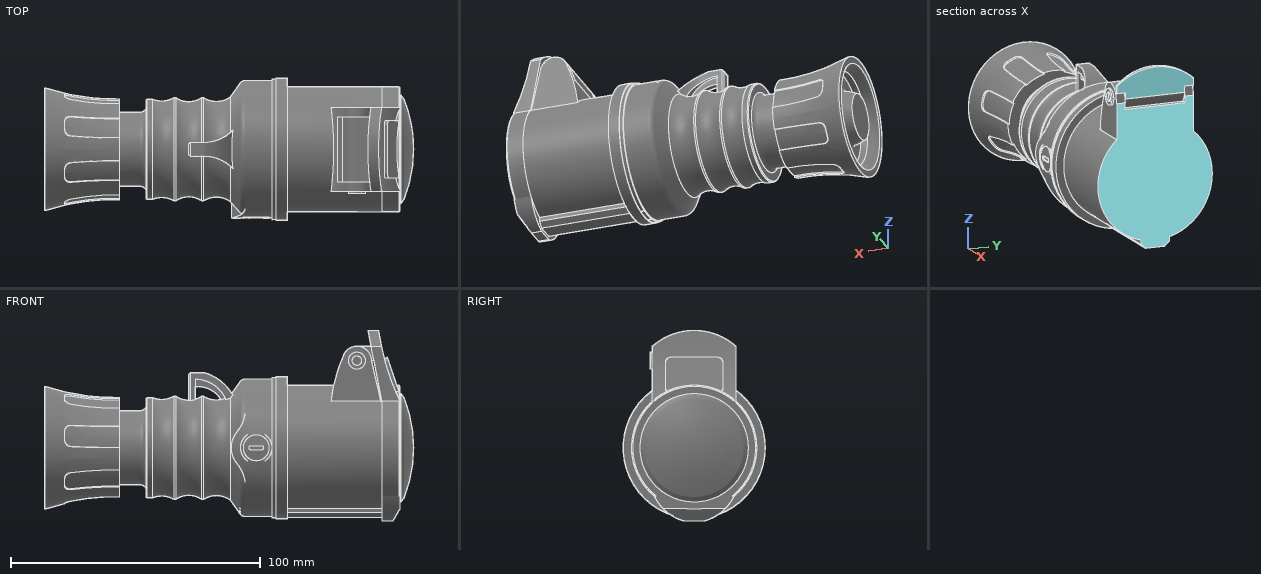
import cadquery as cq
import math


sleeve_length = 30.0
sleeve_mouth_radius = 24.5
sleeve_lip = 0.6
sleeve_middle_x = 12.0
sleeve_middle_radius = 21.6
sleeve_end_radius = 20.2
neck_radius = 14.9
neck_end = 38.3
neck_flare_middle = (39.6, 15.3)
neck_flare_radius = 16.3

mouth_radius = 21.7
mouth_wall_middle = (1.9, 20.4)
mouth_wall_end = (4.2, 19.1)
recess_depth = 7.0
recess_radius = 18.9
core_foot_radius = 15.6
core_foot_middle = (6.1, 12.0)
core_root = (3.5, 10.8)
core_face_radius = 9.5

grip_count = 7
grip_start = 8.0
grip_width = 8.7
grip_depth = 0.6
grip_corner_radius = 2.5

rim_start = 40.5
rim_chamfer = 0.4
rim_end = 43.2
rim_radius = 20.1
ridge_radius = 20.7
ridge_width = 0.8
ridge_centers = (52.1, 63.2)
valley_radii = (19.4, 19.1)

shoulder_waist = (69.0, 19.2)
shoulder_foot = (74.3, 21.0)
shoulder_arc_start = (78.0, 26.2)
shoulder_arc_middle = (78.9, 27.2)
shoulder_end = 80.3
shoulder_radius = 27.6
collar_start = 91.0
collar_step_x = 92.6
collar_step_radius = 28.2
collar_radius = 28.5
collar_end = 97.2
barrel_radius = 25.1
barrel_end = 135.0

rib_bottom = 28.0
rib_bottom_half_width = 4.0
rib_half_width = 6.3
rib_shoulder = 26.0

boss_radius = 10.0
boss_side_angle = math.radians(40)
boss_half_height = 16.5
button_x = 84.7
button_outer_radius = 6.3
button_inner_radius = 5.2
button_groove_depth = 0.5
button_slot_length = 6.0
button_slot_width = 1.6

clip_front = 57.6
clip_post_thickness = 2.7
clip_chamfer = 0.7
clip_top = 30.1
clip_flat_end = 64.0
clip_outer_middle = (70.0, 27.1)
clip_outer_end = (75.5, 20.8)
clip_strap_start_z = 27.5
clip_strap_middle = (67.5, 25.3)
clip_strap_end_x = 73.0
clip_web_start_z = 24.4
clip_web_middle = (66.0, 23.4)
clip_web_end_x = 71.2
clip_web_width = 3.0
clip_half_width = 2.8
clip_flare_start = 65.0
clip_flare_middle = (71.2, 4.6)
clip_flare_half_width = 7.9
clip_root_z = 18.0

hinge_x = 125.0
hinge_z = 34.9
knuckle_radius = 5.8
hinge_half_width = 16.8
knuckle_half_length = 13.0
hinge_base_z = math.sqrt(barrel_radius**2 - hinge_half_width**2)
hinge_top_z = hinge_z + knuckle_radius
ear_front_x = 114.7
ear_front_middle = (116.7, 29.0)
ear_lean = math.radians(14.5)
notch_floor_z = 30.8
pin_head_radius = 3.4
pin_head_height = 0.8
pin_socket_radius = 1.9
lid_gap = 0.35

lid_back = 142.3
lid_rear_chamfer = 0.5
dome_foot_x = 142.7
dome_foot_radius = 21.7
dome_edge_x = 144.0
dome_edge_radius = 19.9
dome_tip = 147.78
plate_top_z = 47.03
plate_arc_radius = 25.2
plate_front_base_x = 134.9
plate_front_top_x = 129.4
plate_back_bend_x = 134.9
plate_back_middle = (138.1, 28.7)
plate_back_top_x = 133.7
pad_bottom_z = 22.0
pad_top_z = 36.0
pad_half_width = 11.5
pad_height = 0.8
pad_root_depth = 2.0
pad_corner_radius = 2.0
lid_key_bottom = 29.4
lid_key_half_width = 4.0
lid_key_root = (16.0, 19.3)
lid_key_side = (11.5, 25.3)
lid_key_chamfer_start = 139.4
lid_key_chamfer_end_z = 24.4

REACH = 60.0


def around_x(profile):
    """Turn an outline, drawn as (x, radius), about the X axis."""
    return profile.close().revolve(360, (0, 0, 0), (1, 0, 0))


def side_plate(outline, y_min, y_max):
    """Extrude a closed XZ outline between two Y values."""
    return outline.extrude(y_max - y_min).translate((0, y_max, 0))


def sleeve_curve(start, inset):
    """Add the flared sleeve side to an outline, moved inwards by an inset."""
    return (
        start.lineTo(0, sleeve_mouth_radius - inset)
        .lineTo(sleeve_lip, sleeve_mouth_radius - inset)
        .threePointArc(
            (sleeve_middle_x, sleeve_middle_radius - inset),
            (sleeve_length, sleeve_end_radius - inset),
        )
    )


def turned_housing():
    profile = sleeve_curve(cq.Workplane("XY").moveTo(0, 0), 0)
    profile = (
        profile.lineTo(sleeve_length, neck_radius)
        .lineTo(neck_end, neck_radius)
        .threePointArc(neck_flare_middle, (rim_start, neck_flare_radius))
        .lineTo(rim_start, rim_radius - rim_chamfer)
        .lineTo(rim_start + rim_chamfer, rim_radius)
        .lineTo(rim_end, rim_radius)
    )
    valley_start = rim_end
    for center, valley_radius in zip(ridge_centers, valley_radii):
        ridge_start = center - ridge_width / 2
        valley_middle = (valley_start + ridge_start) / 2
        profile = profile.threePointArc((valley_middle, valley_radius), (ridge_start, ridge_radius))
        valley_start = center + ridge_width / 2
        profile = profile.lineTo(valley_start, ridge_radius)
    profile = (
        profile.threePointArc(shoulder_waist, shoulder_foot)
        .lineTo(*shoulder_arc_start)
        .threePointArc(shoulder_arc_middle, (shoulder_end, shoulder_radius))
        .lineTo(collar_start, shoulder_radius)
        .lineTo(collar_start, collar_step_radius)
        .lineTo(collar_step_x, collar_step_radius)
        .lineTo(collar_step_x, collar_radius)
        .lineTo(collar_end, collar_radius)
        .lineTo(collar_end, barrel_radius)
        .lineTo(barrel_end, barrel_radius)
        .lineTo(barrel_end, 0)
    )
    return around_x(profile)


def cable_recess():
    return around_x(
        cq.Workplane("XY")
        .moveTo(0, core_face_radius)
        .lineTo(*core_root)
        .threePointArc(core_foot_middle, (recess_depth, core_foot_radius))
        .lineTo(recess_depth, recess_radius)
        .lineTo(*mouth_wall_end)
        .lineTo(*mouth_wall_middle)
        .lineTo(0, mouth_radius)
    )


def grip_pockets():
    """Shallow pockets around the sleeve, one of them straight down."""
    floor = around_x(sleeve_curve(cq.Workplane("XY").moveTo(0, 0), grip_depth).lineTo(sleeve_length, 0))
    length = sleeve_length - grip_start
    pocket = (
        cq.Workplane("XY")
        .box(length, grip_width, REACH, centered=(False, True, False))
        .edges("|Z and <X")
        .fillet(grip_corner_radius)
        .translate((grip_start, 0, 0))
        .rotate((0, 0, 0), (1, 0, 0), 180)
        .cut(floor)
    )
    step = 360 / grip_count
    return [pocket.rotate((0, 0, 0), (1, 0, 0), i * step) for i in range(grip_count)]


def keying_rib():
    points = [
        (-rib_half_width, 0),
        (-rib_half_width, -rib_shoulder),
        (-rib_bottom_half_width, -rib_bottom),
        (rib_bottom_half_width, -rib_bottom),
        (rib_half_width, -rib_shoulder),
        (rib_half_width, 0),
    ]
    rib = cq.Workplane("YZ", origin=(collar_start, 0, 0)).polyline(points).close()
    return rib.extrude(barrel_end - collar_start)


def lock_boss():
    """Tongue of the shoulder that reaches forward around the lock button."""
    side_x = button_x - boss_radius * math.cos(boss_side_angle)
    side_z = boss_radius * math.sin(boss_side_angle)
    middle_x = button_x - boss_radius * math.cos(boss_side_angle / 2)
    middle_z = boss_radius * math.sin(boss_side_angle / 2)
    upper_half = (
        cq.Workplane("XZ")
        .moveTo(button_x - boss_radius, 0)
        .threePointArc((middle_x, middle_z), (side_x, side_z))
        .tangentArcPoint((shoulder_end, boss_half_height), relative=False)
        .lineTo(collar_start, boss_half_height)
        .lineTo(collar_start, 0)
        .close()
    )
    prism = side_plate(upper_half, -REACH, 0)
    prism = prism.union(prism.mirror("XY")).clean()
    cylinder = cq.Workplane("YZ").circle(shoulder_radius).extrude(collar_start)
    return prism.intersect(cylinder)


def lock_button_marks():
    """Ring groove and slot, sunk to one flat depth in the -Y side."""
    floor_y = button_groove_depth - shoulder_radius
    face = cq.Workplane("XZ", origin=(button_x, floor_y, 0))
    ring = face.circle(button_outer_radius).circle(button_inner_radius).extrude(REACH)
    slot = face.slot2D(button_slot_length, button_slot_width).extrude(REACH)
    return ring.union(slot)


def clip_arch(start_z, middle, end_x):
    """XZ outline below the arched clip top and above an arched underside."""
    outer_end_x = clip_outer_end[0]
    return (
        cq.Workplane("XZ")
        .moveTo(clip_front, clip_top)
        .lineTo(clip_flat_end, clip_top)
        .threePointArc(clip_outer_middle, clip_outer_end)
        .lineTo(outer_end_x, clip_root_z)
        .lineTo(end_x, clip_root_z)
        .threePointArc(middle, (clip_front + clip_post_thickness, start_z))
        .lineTo(clip_front, start_z)
        .close()
    )


def hook_clip():
    """Post and arched strap, flared in plan where it meets the shoulder and stiffened by a web."""
    end_x = clip_outer_end[0]
    plan = (
        cq.Workplane("XY")
        .moveTo(clip_front, -clip_half_width)
        .lineTo(clip_flare_start, -clip_half_width)
        .threePointArc((clip_flare_middle[0], -clip_flare_middle[1]), (end_x, -clip_flare_half_width))
        .lineTo(end_x, clip_flare_half_width)
        .threePointArc(clip_flare_middle, (clip_flare_start, clip_half_width))
        .lineTo(clip_front, clip_half_width)
        .close()
        .extrude(REACH)
    )
    strap_outline = clip_arch(clip_strap_start_z, clip_strap_middle, clip_strap_end_x)
    strap = side_plate(strap_outline, -REACH, REACH).intersect(plan)
    web_outline = clip_arch(clip_web_start_z, clip_web_middle, clip_web_end_x)
    web = side_plate(web_outline, -clip_web_width / 2, clip_web_width / 2)
    post = cq.Workplane("XY").box(
        clip_post_thickness, 2 * clip_half_width, clip_top - clip_root_z, centered=(False, True, False)
    ).translate((clip_front, 0, clip_root_z))
    clip = strap.union(web).union(post).clean()
    return clip.faces("<X").chamfer(clip_chamfer)


def plate_front_x(z):
    """X of the sloping front face of the lid plate at height z."""
    share = (z - hinge_base_z) / (plate_top_z - hinge_base_z)
    return plate_front_base_x + share * (plate_front_top_x - plate_front_base_x)


def hinge_block():
    """Block with a rounded top whose two ears hold the lid knuckle."""
    lean_x = hinge_x - knuckle_radius * math.cos(ear_lean)
    lean_z = hinge_z + knuckle_radius * math.sin(ear_lean)
    back_lean = math.atan2(plate_front_base_x - plate_front_top_x, plate_top_z - hinge_base_z)
    back_x = hinge_x + knuckle_radius * math.cos(back_lean)
    back_z = hinge_z + knuckle_radius * math.sin(back_lean)
    outline = (
        cq.Workplane("XZ")
        .moveTo(ear_front_x, 0)
        .lineTo(ear_front_x, hinge_base_z)
        .threePointArc(ear_front_middle, (lean_x, lean_z))
        .threePointArc((hinge_x, hinge_top_z), (back_x, back_z))
        .lineTo(plate_front_base_x - lid_gap, hinge_base_z)
        .lineTo(plate_front_base_x - lid_gap, 0)
        .close()
    )
    block = side_plate(outline, -hinge_half_width, hinge_half_width)
    notch = cq.Workplane("XY").box(
        REACH, 2 * knuckle_half_length, REACH, centered=(True, True, False)
    ).translate((hinge_x, 0, notch_floor_z))
    return block.cut(notch).cut(knuckle_barrel())


def pin_head():
    face = cq.Workplane("XZ", origin=(hinge_x, -hinge_half_width, hinge_z))
    return face.circle(pin_head_radius).circle(pin_socket_radius).extrude(pin_head_height)


def lid_clearance():
    """Space behind the hinge block that the sloping lid plate takes up."""
    outline = cq.Workplane("XZ").polyline([
        (plate_front_x(hinge_base_z) - lid_gap, hinge_base_z),
        (plate_front_x(plate_top_z) - lid_gap, plate_top_z),
        (dome_tip, plate_top_z),
        (dome_tip, hinge_base_z),
    ]).close()
    return side_plate(outline, -REACH, REACH)


def make_housing():
    body = turned_housing().cut(cable_recess())
    for pocket in grip_pockets():
        body = body.cut(pocket)
    body = body.union(keying_rib()).union(lock_boss()).cut(lock_button_marks())
    body = body.union(hook_clip()).union(hinge_block())
    return body.cut(lid_clearance()).union(pin_head())


def knuckle_barrel():
    circle = cq.Workplane("XZ").center(hinge_x, hinge_z).circle(knuckle_radius)
    return side_plate(circle, -knuckle_half_length, knuckle_half_length)


def dome_middle():
    """Point on the spherical dome at half its edge radius."""
    rise = dome_tip - dome_edge_x
    sphere_radius = (dome_edge_radius**2 + rise**2) / (2 * rise)
    middle_radius = dome_edge_radius / 2
    middle_x = dome_tip - sphere_radius + math.sqrt(sphere_radius**2 - middle_radius**2)
    return (middle_x, middle_radius)


def lid_disc():
    return around_x(
        cq.Workplane("XY")
        .moveTo(barrel_end, 0)
        .lineTo(barrel_end, barrel_radius)
        .lineTo(lid_back - lid_rear_chamfer, barrel_radius)
        .lineTo(lid_back, barrel_radius - lid_rear_chamfer)
        .lineTo(lid_back, dome_foot_radius)
        .lineTo(dome_foot_x, dome_foot_radius)
        .lineTo(dome_edge_x, dome_edge_radius)
        .threePointArc(dome_middle(), (dome_tip, 0))
    )


def lid_plate():
    """Sloping plate that rises from the lid disc, with an arched top."""
    outline = (
        cq.Workplane("XZ")
        .moveTo(barrel_end, 0)
        .lineTo(barrel_end, hinge_base_z)
        .lineTo(plate_front_base_x, hinge_base_z)
        .lineTo(plate_front_top_x, plate_top_z)
        .lineTo(plate_back_top_x, plate_top_z)
        .lineTo(plate_back_bend_x, hinge_top_z)
        .threePointArc(plate_back_middle, (lid_back, hinge_base_z))
        .lineTo(lid_back, 0)
        .close()
    )
    arc_center_z = plate_top_z - plate_arc_radius
    arch = cq.Workplane("YZ").center(0, arc_center_z).circle(plate_arc_radius).extrude(dome_tip)
    base = cq.Workplane("XY").box(dome_tip, REACH, arc_center_z, centered=(False, True, False))
    return side_plate(outline, -hinge_half_width, hinge_half_width).intersect(arch.union(base))


def plate_pad():
    """Raised pad on the hollow back of the lid plate, rooted inside the plate."""
    slope = (lid_back - plate_back_bend_x) / (hinge_top_z - hinge_base_z)
    middle_z = (pad_bottom_z + pad_top_z) / 2
    middle_x = lid_back - slope * (middle_z - hinge_base_z)
    length = (pad_top_z - pad_bottom_z) * math.hypot(1, slope)
    chord = cq.Plane(origin=(middle_x, 0, middle_z), xDir=(0, 1, 0), normal=(1, 0, slope))
    pad = (
        cq.Workplane(chord)
        .workplane(offset=-pad_root_depth)
        .rect(2 * pad_half_width, length)
        .extrude(pad_root_depth + pad_height)
    )
    return pad.edges(cq.selectors.ParallelDirSelector(chord.zDir)).fillet(pad_corner_radius)


def lid_key():
    """Thumb bulge below the lid, bevelled at the back."""
    root_y, root_z = lid_key_root
    side_y, side_z = lid_key_side
    bulge = (
        cq.Workplane("YZ", origin=(barrel_end, 0, 0))
        .moveTo(-root_y, -root_z)
        .threePointArc((-side_y, -side_z), (-lid_key_half_width, -lid_key_bottom))
        .lineTo(lid_key_half_width, -lid_key_bottom)
        .threePointArc((side_y, -side_z), (root_y, -root_z))
        .close()
        .extrude(lid_back - barrel_end)
    )
    bevel = cq.Workplane("XZ").polyline([
        (lid_key_chamfer_start, -lid_key_bottom),
        (lid_back, -lid_key_chamfer_end_z),
        (lid_back, -lid_key_bottom),
    ]).close()
    return bulge.cut(side_plate(bevel, -REACH, REACH))


def knuckle():
    """Hinge barrel with the flat-topped arm that joins it to the plate."""
    arm = cq.Workplane("XZ").polyline([
        (hinge_x, hinge_z),
        (plate_front_x(hinge_z), hinge_z),
        (plate_front_x(hinge_top_z), hinge_top_z),
        (hinge_x, hinge_top_z),
    ]).close()
    return knuckle_barrel().union(side_plate(arm, -knuckle_half_length, knuckle_half_length))


def make_lid():
    return lid_disc().union(lid_plate()).union(plate_pad()).union(lid_key()).union(knuckle())


housing = make_housing()
lid = make_lid()
result = cq.Compound.makeCompound([housing.val(), lid.val()])